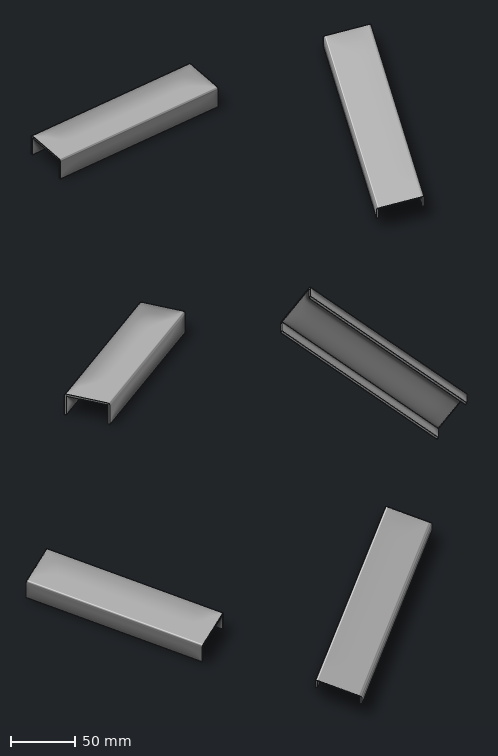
import cadquery as cq

length = 152.4
width = 39.0
height = 19.0

thickness = 2.0
edge_radius = 2.3

outer_bar = (
    cq.Workplane("XY")
    .box(width, length, height, centered=(True, True, False))
    .edges("|Y and >Z")
    .fillet(edge_radius)
)

channel_space = cq.Workplane("XY").box(
    width - 2 * thickness, length, height - thickness, centered=(True, True, False)
)

result = outer_bar.cut(channel_space)